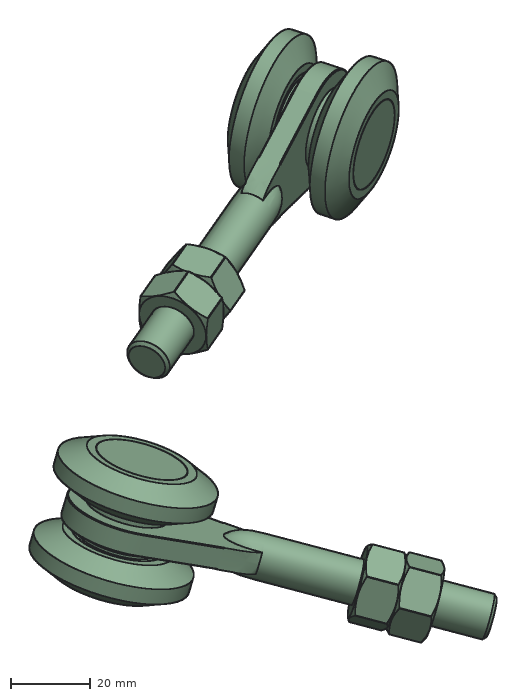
import cadquery as cq
import math


wheel_diameter = 42.0
wheel_face_diameter = 28.8
wheel_width = 11.4
rim_width = 4.2
overall_width = 34.0
wheel_inner_x = overall_width / 2 - wheel_width
wheel_bore_diameter = 24.0

hub_diameter = 23.8
collar_diameter = 21.7
collar_length = 0.7
stub_diameter = 21.5

overall_length = 117.2
rod_diameter = 12.0
rod_radius = rod_diameter / 2
rod_end_y = wheel_diameter / 2 - overall_length
rod_end_chamfer = 0.88
shank_start_y = -35.4
eye_radius = 15.6
plate_thickness = 6.1
plate_edge_chamfer = 0.2
taper_angle = math.radians(15.6)
taper_end_y = -25.3
tangent_y = -eye_radius * math.sin(taper_angle)
tangent_z = eye_radius * math.cos(taper_angle)
taper_end_z = tangent_z - (tangent_y - taper_end_y) * math.tan(taper_angle)
neck_middle_y = -31.7
neck_middle_z = 7.4
nose_tip_y = taper_end_y
nose_shoulder_radius = 5.2
nose_shoulder_y = -28.8

nut_across_flats = 18.9
nut_height = 10.1
nut_corner_diameter = 21.7
nut_face_diameter = 18.6
nut_chamfer_angle = math.radians(30)
nut_sides = 6
flat_to_corner_degrees = 180 / nut_sides
nut_count = 2
first_nut_y = -61.2


def make_wheel(side):
    """Double-bevelled wheel with a plain bore; side is -1 or +1 along X."""
    bevel_width = (wheel_width - rim_width) / 2
    inner_x = wheel_inner_x
    outer_x = inner_x + wheel_width
    bore_radius = wheel_bore_diameter / 2
    profile = [
        (inner_x, bore_radius),
        (inner_x, wheel_face_diameter / 2),
        (inner_x + bevel_width, wheel_diameter / 2),
        (outer_x - bevel_width, wheel_diameter / 2),
        (outer_x, wheel_face_diameter / 2),
        (outer_x, bore_radius),
    ]
    points = [(side * x, radius) for x, radius in profile]
    return cq.Workplane("XY").polyline(points).close().revolve(360, (0, 0, 0), (1, 0, 0))


def make_hub(side):
    """Stepped hub: stub against the plate, collar, then the disc inside the wheel."""
    plate_x = plate_thickness / 2
    collar_x = wheel_inner_x - collar_length
    outer_x = wheel_inner_x + wheel_width
    profile = [
        (plate_x, 0),
        (plate_x, stub_diameter / 2),
        (collar_x, stub_diameter / 2),
        (collar_x, collar_diameter / 2),
        (wheel_inner_x, collar_diameter / 2),
        (wheel_inner_x, hub_diameter / 2),
        (outer_x, hub_diameter / 2),
        (outer_x, 0),
    ]
    points = [(side * x, radius) for x, radius in profile]
    return cq.Workplane("XY").polyline(points).close().revolve(360, (0, 0, 0), (1, 0, 0))


def make_eye_plate():
    """Round eye with straight flanks that leave it tangentially and taper toward the rod."""
    outline = (
        cq.Workplane("YZ")
        .moveTo(taper_end_y, -taper_end_z)
        .lineTo(taper_end_y, taper_end_z)
        .lineTo(tangent_y, tangent_z)
        .threePointArc((eye_radius, 0), (tangent_y, -tangent_z))
        .close()
    )
    plate = outline.extrude(plate_thickness / 2, both=True)
    return plate.faces("<X or >X").edges("not <Y").chamfer(plate_edge_chamfer)


def make_neck():
    """Smooth loft from the end of the plate, through a lower rectangle, to a slice of the rod."""
    half_thickness = plate_thickness / 2
    slice_corner_z = math.sqrt(rod_radius**2 - half_thickness**2)
    return (
        cq.Workplane("XZ", origin=(0, taper_end_y, 0))
        .rect(plate_thickness, 2 * taper_end_z)
        .workplane(offset=taper_end_y - neck_middle_y)
        .rect(plate_thickness, 2 * neck_middle_z)
        .workplane(offset=neck_middle_y - shank_start_y)
        .moveTo(-half_thickness, -slice_corner_z)
        .threePointArc((0, -rod_radius), (half_thickness, -slice_corner_z))
        .lineTo(half_thickness, slice_corner_z)
        .threePointArc((0, rod_radius), (-half_thickness, slice_corner_z))
        .close()
        .loft()
    )


def make_rod():
    """Rod with a chamfered tip, a rounded nose and the flat eye plate, in one piece."""
    nose_tip_direction = (-1, 1)
    shank = (
        cq.Workplane("XY")
        .moveTo(0, rod_end_y)
        .lineTo(rod_radius - rod_end_chamfer, rod_end_y)
        .lineTo(rod_radius, rod_end_y + rod_end_chamfer)
        .lineTo(rod_radius, shank_start_y)
        .spline(
            [(nose_shoulder_radius, nose_shoulder_y), (plate_thickness / 2, nose_tip_y)],
            tangents=[(0, 1), nose_tip_direction],
            includeCurrent=True,
        )
        .lineTo(0, nose_tip_y)
        .close()
        .revolve(360, (0, 0, 0), (0, 1, 0))
    )
    return shank.union(make_eye_plate()).union(make_neck())


def make_nut(start_y, turn):
    """Hexagon nut running from start_y toward -Y; turn is its rotation about Y in degrees."""
    across_corners = nut_across_flats / math.cos(math.radians(flat_to_corner_degrees))
    hexagon = cq.Workplane("XZ").polygon(nut_sides, across_corners).extrude(nut_height)
    face_radius = nut_face_diameter / 2
    corner_radius = nut_corner_diameter / 2
    chamfer_depth = (corner_radius - face_radius) * math.tan(nut_chamfer_angle)
    envelope = (
        cq.Workplane("XY")
        .polyline([
            (rod_radius, 0),
            (face_radius, 0),
            (corner_radius, -chamfer_depth),
            (corner_radius, chamfer_depth - nut_height),
            (face_radius, -nut_height),
            (rod_radius, -nut_height),
        ])
        .close()
        .revolve(360, (0, 0, 0), (0, 1, 0))
    )
    nut = hexagon.intersect(envelope)
    return nut.rotate((0, 0, 0), (0, 1, 0), turn).translate((0, start_y, 0))


rod = make_rod()
wheels = [make_wheel(side) for side in (-1, 1)]
hubs = [make_hub(side) for side in (-1, 1)]
nuts = [
    make_nut(first_nut_y - index * nut_height, index * flat_to_corner_degrees)
    for index in range(nut_count)
]

bodies = [rod, *wheels, *hubs, *nuts]
result = cq.Compound.makeCompound([body.solids().val() for body in bodies])